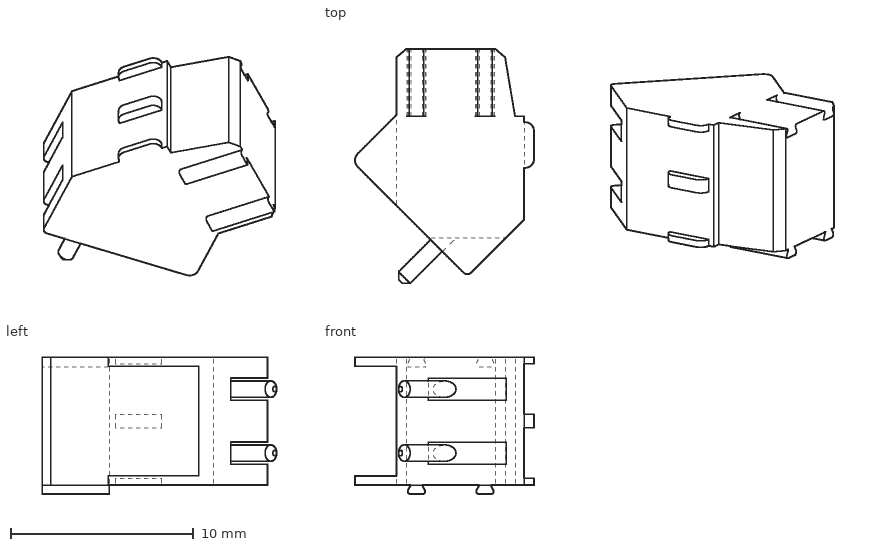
import cadquery as cq
import math


body_height = 7.0
body_width = 7.0
plug_length = 3.68
left_wall_length = 3.62
shoulder_length = 3.5
mounting_length = 9.0
tip_radius = 0.5
base_radius = 0.3
end_chamfer_x = 0.54
end_chamfer_y = 0.46
taper_start_x = 5.96
taper_end_x = 6.5

plate_thickness = 0.5

pin_pitch = 3.5
pin_diameter = 0.9
pin_tip_chamfer = 0.3
pin_protrusion = 2.78
pin_embedded_length = 2.0
pin_face_offset = 6.6
slot_height = 1.2
slot_width = 4.27

tab_projection = 0.54
tab_top_y = -4.0
tab_length = 2.52
tab_radius = 0.5
outer_tab_thickness = 0.375
middle_tab_thickness = 0.75

rail_pitch = 3.75
first_rail_x = 1.1
rail_height = 0.5
rail_neck_width = 0.63
rail_flank_angle = 62
rail_edge_radius = 0.15
groove_depth = 0.54
groove_lip_radius = 0.125
groove_floor_radius = 0.12

diagonal = math.sqrt(0.5)
tip_x = -shoulder_length * diagonal
tip_y = -left_wall_length - shoulder_length * diagonal
base_x = tip_x + mounting_length * diagonal
base_y = tip_y - mounting_length * diagonal
right_corner_y = base_y + (body_width - base_x)
pin_face_x = tip_x + pin_face_offset * diagonal
pin_face_y = tip_y - pin_face_offset * diagonal
pin_levels = [(body_height - pin_pitch) / 2, (body_height + pin_pitch) / 2]
middle_tab_bottom = (body_height - middle_tab_thickness) / 2
upper_tab_bottom = body_height - outer_tab_thickness
rail_positions = [first_rail_x, first_rail_x + rail_pitch]


def make_body():
    """Extruded housing outline with the two rounded 45 degree corners."""
    outline = [
        (0, -end_chamfer_y),
        (end_chamfer_x, 0),
        (taper_start_x - end_chamfer_x, 0),
        (taper_start_x, -end_chamfer_y),
        (taper_end_x, -plug_length),
        (body_width, -plug_length),
        (body_width, right_corner_y),
        (base_x, base_y),
        (tip_x, tip_y),
        (0, -left_wall_length),
    ]
    body = cq.Workplane("XY").polyline(outline).close().extrude(body_height)
    tip_edge = cq.selectors.NearestToPointSelector((tip_x, tip_y, body_height / 2))
    base_edge = cq.selectors.NearestToPointSelector((base_x, base_y, body_height / 2))
    return body.edges(tip_edge).fillet(tip_radius).edges(base_edge).fillet(base_radius)


def make_plate_gap():
    """Space left of the plug wall, between the lower and upper plates."""
    gap_height = body_height - 2 * plate_thickness
    gap = cq.Workplane("XY").box(-tip_x, -base_y, gap_height, centered=False)
    return gap.translate((tip_x, base_y, plate_thickness))


def make_slot(level):
    """Slot across the bottom corner, as deep as the 45 degree faces are at its width."""
    slot_depth = slot_width / 2
    slot = cq.Workplane("XY").box(slot_width, slot_depth, slot_height)
    return slot.translate((base_x, base_y + slot_depth / 2, level))


def make_pin(level):
    """Round pin with a chamfered tip, square to the mounting face."""
    root_x = pin_face_x + pin_embedded_length * diagonal
    root_y = pin_face_y + pin_embedded_length * diagonal
    pin_plane = cq.Plane(origin=(root_x, root_y, level), xDir=(1, -1, 0), normal=(-1, -1, 0))
    pin = cq.Workplane(pin_plane).circle(pin_diameter / 2).extrude(pin_embedded_length + pin_protrusion)
    tip_face = cq.selectors.DirectionMinMaxSelector(cq.Vector(-1, -1, 0))
    return pin.faces(tip_face).chamfer(pin_tip_chamfer)


def make_tab(bottom, thickness):
    """Flat tab with rounded outer corners on the right side."""
    tab = cq.Workplane("XY").box(tab_projection, tab_length, thickness, centered=False)
    tab = tab.edges("|Z and >X").fillet(tab_radius)
    return tab.translate((body_width, tab_top_y - tab_length, bottom))


def make_rail(center_x):
    """Dovetail rail with rounded edges, hanging below the body along the plug."""
    half_neck = rail_neck_width / 2
    half_base = half_neck + rail_height / math.tan(math.radians(rail_flank_angle))
    profile = [
        (-half_neck, 0),
        (-half_base, -rail_height),
        (half_base, -rail_height),
        (half_neck, 0),
    ]
    rail = cq.Workplane("XZ").polyline(profile).close().extrude(plug_length)
    return rail.edges("|Y and <Z").fillet(rail_edge_radius).translate((center_x, 0, 0))


def make_groove(center_x):
    """Undercut dovetail groove above a rail, with rounded lips at its mouth."""
    flank_angle = math.radians(rail_flank_angle)
    half_base = rail_neck_width / 2 + groove_depth / math.tan(flank_angle)
    half_mouth = rail_neck_width / 2 + groove_lip_radius / math.tan(flank_angle / 2)
    half_throat = half_mouth - groove_lip_radius
    flank_start_x = half_mouth - groove_lip_radius * math.sin(flank_angle)
    flank_start_z = -groove_lip_radius * (1 + math.cos(flank_angle))
    groove = (
        cq.Workplane("XZ")
        .moveTo(-half_mouth, 0)
        .threePointArc((-half_throat, -groove_lip_radius), (-flank_start_x, flank_start_z))
        .lineTo(-half_base, -groove_depth)
        .lineTo(half_base, -groove_depth)
        .lineTo(flank_start_x, flank_start_z)
        .threePointArc((half_throat, -groove_lip_radius), (half_mouth, 0))
        .close()
        .extrude(plug_length)
    )
    return groove.edges("|Y and <Z").fillet(groove_floor_radius).translate((center_x, 0, body_height))


result = make_body().cut(make_plate_gap())

for level in pin_levels:
    result = result.cut(make_slot(level)).union(make_pin(level))

for rail_x in rail_positions:
    result = result.cut(make_groove(rail_x)).union(make_rail(rail_x))

result = result.union(make_tab(0, outer_tab_thickness))
result = result.union(make_tab(middle_tab_bottom, middle_tab_thickness))
result = result.union(make_tab(upper_tab_bottom, outer_tab_thickness))